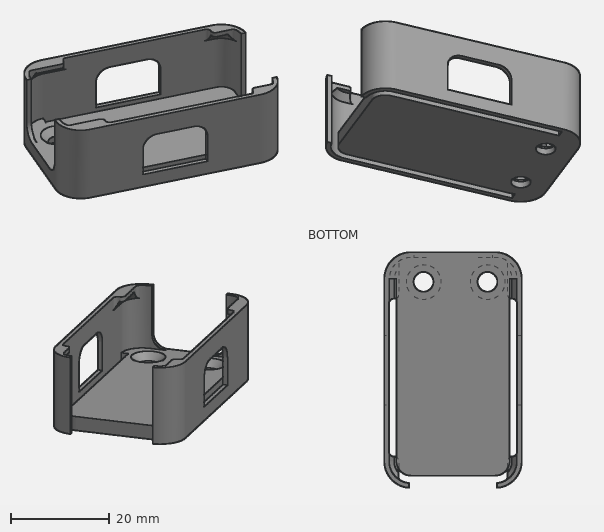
import cadquery as cq
import math

width = 28.0
overall_length = 48.0
height = 16.5
outer_radius = 5.45
wall = 1.0
back_opening_width = 17.8
edge_offset = back_opening_width / 2 - (width / 2 - outer_radius)
length = overall_length + outer_radius - math.sqrt(outer_radius**2 - edge_offset**2)
inner_width = width - 2 * wall
inner_length = length - 2 * wall
inner_radius = outer_radius - wall

floor_thickness = 3.0
gap = 1.5
floor_width = inner_width - 2 * gap
floor_back = inner_length / 2 - gap

opening_radius = 3.0
front_opening_width = 16.03
window_length = 14.05
window_top = 12.1

lip_half_spacing = 11.1
lip_tip_thickness = 1.0
lip_root_thickness = 2.75
lip_slope_run = 1.0
lip_fillet = 0.9
back_lip_end = 17.55
front_lip_end = -14.5

screw_xs = (-6.0, 7.0)
screw_y = -17.95
screw_diameter = 4.0
countersink_diameter = 7.05
countersink_angle = 90.0


def rounded_block(x_size, y_size, z_size, radius):
    block = cq.Workplane("XY").box(x_size, y_size, z_size, centered=(True, True, False))
    return block.edges("|Z").fillet(radius)


def make_floor():
    """Island with rounded back corners that widens to meet the front wall."""
    front = -inner_length / 2
    island = (
        cq.Workplane("XY")
        .box(floor_width, floor_back - front, floor_thickness, centered=(True, False, False))
        .translate((0, front, 0))
        .edges("|Z and >Y")
        .fillet(inner_radius - gap)
    )
    front_strip = (
        cq.Workplane("XY")
        .box(inner_width, outer_radius - wall, floor_thickness, centered=(True, False, False))
        .translate((0, front, 0))
    )
    return island.union(front_strip.intersect(cavity))


def make_lips():
    """Four lips with a flat underside that slopes steeply down close to the wall."""
    tip_z = height - lip_tip_thickness
    root_z = height - lip_root_thickness
    wall_section = cq.Sketch().rect(inner_width, inner_length).vertices().fillet(inner_radius)
    inset_section = (
        cq.Sketch()
        .rect(inner_width - 2 * lip_slope_run, inner_length - 2 * lip_slope_run)
        .vertices()
        .fillet(inner_radius - lip_slope_run)
    )
    space_under_lips = (
        cq.Workplane("XY", origin=(0, 0, root_z))
        .placeSketch(wall_section, inset_section.moved(cq.Location(cq.Vector(0, 0, tip_z - root_z))))
        .loft()
    )
    rim = cavity.intersect(
        cq.Workplane("XY", origin=(0, 0, root_z)).box(
            width, length, lip_root_thickness, centered=(True, True, False)
        )
    ).cut(space_under_lips)

    side_passage = cq.Workplane("XY").box(
        inner_width, back_lip_end - front_lip_end, height, centered=(True, False, False)
    ).translate((0, front_lip_end, 0))
    middle_passage = cq.Workplane("XY").box(
        2 * lip_half_spacing, length, height, centered=(True, True, False)
    )
    clear_space = cavity.intersect(side_passage.union(middle_passage))
    corner_x = lip_half_spacing - lip_fillet / 2
    for side in (-1, 1):
        corners = cq.selectors.BoxSelector(
            (side * corner_x, -length, -height), (side * width, length, 2 * height)
        )
        clear_space = clear_space.edges("|Z").edges(corners).fillet(lip_fillet)
    return rim.cut(clear_space)


def front_opening():
    block = cq.Workplane("XY").box(
        front_opening_width, outer_radius, height, centered=(True, False, False)
    )
    block = block.edges("|Y and <Z").fillet(opening_radius)
    return block.translate((0, -length / 2, floor_thickness))


def back_opening():
    block = cq.Workplane("XY").box(
        back_opening_width, gap + wall, height, centered=(True, False, False)
    )
    return block.translate((0, floor_back, 0))


def side_windows():
    block = cq.Workplane("XY").box(
        width, window_length, window_top - floor_thickness, centered=(True, True, False)
    )
    block = block.edges("|X and >Z").fillet(opening_radius)
    return block.translate((0, 0, floor_thickness))


def screw_hole(x):
    """Through hole with a countersink opening at the top of the floor."""
    cone_depth = (countersink_diameter - screw_diameter) / 2
    hole = cq.Workplane("XY").circle(screw_diameter / 2).extrude(floor_thickness)
    cone = cq.Workplane("XY", origin=(0, 0, floor_thickness)).circle(countersink_diameter / 2)
    cone = cone.extrude(-cone_depth, taper=countersink_angle / 2)
    return hole.union(cone).translate((x, screw_y, 0))


cavity = rounded_block(inner_width, inner_length, height, inner_radius)
shell = rounded_block(width, length, height, outer_radius).cut(cavity)

body = shell.union(make_floor()).union(make_lips())
body = body.cut(front_opening()).cut(back_opening()).cut(side_windows())

for screw_x in screw_xs:
    body = body.cut(screw_hole(screw_x))

result = body